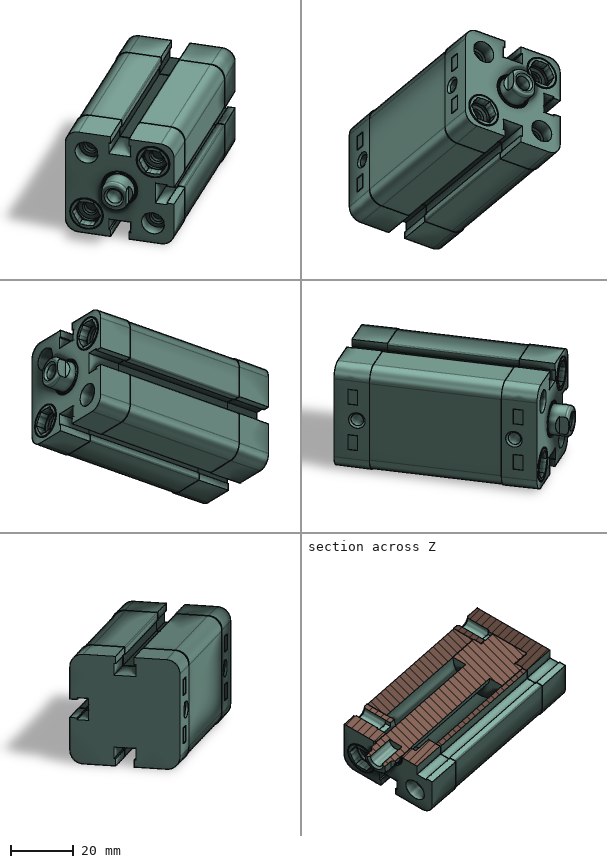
import cadquery as cq
import math


total_length = 73.6
cap_side = 36.3
cap_end_side = 36.1
barrel_side = 36.0
cap_length = 11.8
rod_reach = 6.55
body_length = total_length - rod_reach
front_joint = cap_length
rear_joint = body_length - cap_length
half_side = cap_side / 2
cap_corner_radius = 4.5
barrel_corner_radius = 4.6
cap_taper = math.degrees(math.atan((cap_side - cap_end_side) / 2 / cap_length))

slot_angles = (0, 90, 270)
slot_lip = 2.5
cap_slot = {"mouth": 6.0, "inner": 7.2, "depth": 6.3}
barrel_slot = {"mouth": 5.6, "inner": 6.85, "depth": 6.1}
slot_edge_radius = 0.4

bore_diameter = 20.0
rod_diameter = 10.0
piston_length = 10.3
tail_diameter = 13.8
rod_end_face = 7.6
rod_thread_mouth = 6.4
rod_thread = 4.9
rod_thread_depth = 10.3
wrench_width = 8.0
wrench_length = 3.2

wiper_face = 10.45
wiper_diameter = 10.9
wiper_seat = 11.4
wiper_mouth = 12.0
wiper_gap_depth = 0.4

port_from_end = 7.6
port_diameter = 4.1
port_mouth = 5.5
port_floor = 8.8
port_slot_height = 2.9
chamber_diameter = 14.0
front_chamber_end = 5.3
rear_chamber_end = 6.0

label_length = 3.2
label_height = 5.15
label_depth = 0.2
label_from_end = 6.25
label_offset = 7.95

corner_offset = 11.05
thread_diameter = 4.1
thread_mouth = 5.15
thread_depth = 2.2
head_seat = 11.1
head_diameter = 10.9
head_face = 10.45
head_gap_depth = 0.2
socket_flats = 8.0
socket_mouth = 8.3
socket_bore = 8.0
hex_depth = 3.1
socket_depth = 4.1
sleeve_hole = 7.5
sleeve_hole_depth = 4.6


def disc(diameter, start, end, x=0, z=0):
    """Cylinder parallel to Y from start to end."""
    circle = cq.Workplane("XZ", origin=(x, start, z)).circle(diameter / 2)
    return circle.extrude(start - end)


def cone_along(direction, start_diameter, end_diameter, depth, start):
    """Truncated cone from the point start, with its axis along direction."""
    solid = cq.Solid.makeCone(
        start_diameter / 2, end_diameter / 2, depth, cq.Vector(*start), cq.Vector(*direction)
    )
    return cq.Workplane(solid)


def countersink(mouth_diameter, hole_diameter, start, direction=(0, 1, 0)):
    """45 degree cone that narrows from the point start to the hole diameter."""
    depth = (mouth_diameter - hole_diameter) / 2
    return cone_along(direction, mouth_diameter, hole_diameter, depth, start)


def raised_rim(face_diameter, base_diameter, depth, x=0, z=0):
    """Cone that widens inward from the front face, left standing inside a groove."""
    return cone_along((0, 1, 0), face_diameter, base_diameter, depth, (x, 0, z))


def rounded_square(side, radius, plane_y):
    sketch = cq.Sketch().rect(side, side).vertices().fillet(radius)
    return cq.Workplane("XZ", origin=(0, plane_y, 0)).placeSketch(sketch)


def t_slots(sizes, start, end):
    """Cutters for all T-slots between two Y positions."""
    length = end - start
    floor = half_side - sizes["depth"]
    lip = half_side - slot_lip
    mid_y = (start + end) / 2
    inner = cq.Workplane().box(lip - floor, length, sizes["inner"])
    inner = inner.translate(((lip + floor) / 2, mid_y, 0))
    mouth = cq.Workplane().box(half_side - floor, length, sizes["mouth"])
    mouth = mouth.translate(((half_side + floor) / 2, mid_y, 0))
    slot = inner.union(mouth)
    slots = slot
    for angle in slot_angles:
        slots = slots.union(slot.rotate((0, 0, 0), (0, 1, 0), angle))
    return slots


def side_port(end_face, inward, chamber_end):
    """Port on the -X side, with its chamber; inward is the Y direction from the cap face to its joint."""
    port_y = end_face + inward * port_from_end
    joint = end_face + inward * cap_length
    chamber_start = end_face + inward * chamber_end
    hole = cq.Workplane("YZ", origin=(-half_side, port_y, 0)).circle(port_diameter / 2)
    hole = hole.extrude(half_side - port_floor)
    mouth = countersink(port_mouth, port_diameter, (-half_side, port_y, 0), (1, 0, 0))
    chamber = disc(chamber_diameter, chamber_start, joint)
    slot_end = port_y + inward * port_diameter / 2
    slot = cq.Workplane().box(port_floor, abs(slot_end - chamber_start), port_slot_height)
    slot = slot.translate((-port_floor / 2, (slot_end + chamber_start) / 2, 0))
    return hole.union(mouth).union(chamber).union(slot)


def label_fields(end_face, inward):
    field_y = end_face + inward * label_from_end
    field = cq.Workplane().box(2 * label_depth, label_length, label_height)
    upper = field.translate((-half_side, field_y, label_offset))
    return upper.union(upper.mirror("XY"))


def corner_thread(start, x, z):
    """Countersunk threaded hole."""
    hole = disc(thread_diameter, start, start + thread_depth, x, z)
    return hole.union(countersink(thread_mouth, thread_diameter, (x, start, z)))


def screw_head(x, z):
    """Cutter that leaves a chamfered socket head in its seat."""
    gap = disc(head_seat, 0, head_gap_depth, x, z)
    gap = gap.cut(raised_rim(head_face, head_diameter, head_gap_depth, x, z))
    hex_corners = socket_flats / math.cos(math.pi / 6)
    hexagon = cq.Workplane("XZ", origin=(x, 0, z)).polygon(6, hex_corners).extrude(-hex_depth)
    socket = disc(socket_mouth, 0, hex_depth, x, z).union(disc(socket_bore, 0, socket_depth, x, z))
    return gap.union(hexagon).union(socket).union(corner_thread(socket_depth, x, z))


def sleeve_end(x, z):
    """Cutter for a plain corner hole with a threaded floor."""
    hole = disc(sleeve_hole, 0, sleeve_hole_depth, x, z)
    return hole.union(corner_thread(sleeve_hole_depth, x, z))


def rod_passage():
    """Cutter for the rod hole, with a groove that leaves a chamfered wiper lip around the rod."""
    groove = disc(wiper_seat, 0, wiper_gap_depth).union(countersink(wiper_mouth, wiper_seat, (0, 0, 0)))
    groove = groove.cut(raised_rim(wiper_face, wiper_diameter, wiper_gap_depth))
    return groove.union(disc(rod_diameter, 0, cap_length))


def cap_blank(end_face, inward):
    """Cap block, largest at its joint and tapering toward the outer face."""
    joint = end_face + inward * cap_length
    block = rounded_square(cap_side, cap_corner_radius, joint)
    block = block.extrude(inward * cap_length, taper=cap_taper)
    block = block.cut(t_slots(cap_slot, min(end_face, joint), max(end_face, joint)))
    return block.cut(label_fields(end_face, inward))


def make_front_cap():
    cap = cap_blank(0, 1).cut(side_port(0, 1, front_chamber_end)).cut(rod_passage())
    for side in (1, -1):
        cap = cap.cut(screw_head(side * corner_offset, side * corner_offset))
        cap = cap.cut(sleeve_end(-side * corner_offset, side * corner_offset))
    return cap


def make_rear_cap():
    return cap_blank(body_length, -1).cut(side_port(body_length, -1, rear_chamber_end))


def slot_mouth_edge(angle, side):
    """Selector for one outer edge of the barrel slot at the given angle about Y."""
    turn = math.radians(angle)
    outward = cq.Vector(math.cos(turn), 0, -math.sin(turn))
    sideways = cq.Vector(math.sin(turn), 0, math.cos(turn))
    edge_middle = outward * (barrel_side / 2) + sideways * (side * barrel_slot["mouth"] / 2)
    edge_middle += cq.Vector(0, body_length / 2, 0)
    return cq.selectors.NearestToPointSelector(edge_middle.toTuple())


def make_barrel():
    barrel = rounded_square(barrel_side, barrel_corner_radius, front_joint)
    barrel = barrel.extrude(front_joint - rear_joint)
    barrel = barrel.cut(t_slots(barrel_slot, front_joint, rear_joint))
    for angle in slot_angles:
        for side in (1, -1):
            barrel = barrel.edges(slot_mouth_edge(angle, side)).fillet(slot_edge_radius)
    return barrel.cut(disc(bore_diameter, front_joint, rear_joint))


def make_piston_rod():
    tip = -rod_reach
    rod = disc(rod_diameter, tip, rear_joint)
    rod = rod.faces("<Y").edges().fillet((rod_diameter - rod_end_face) / 2)
    rod = rod.union(disc(bore_diameter, rear_joint - piston_length, rear_joint))
    rod = rod.union(disc(tail_diameter, rear_joint, body_length - rear_chamber_end))
    rod = rod.cut(disc(rod_thread, tip, tip + rod_thread_depth))
    rod = rod.cut(countersink(rod_thread_mouth, rod_thread, (0, tip, 0)))
    flat_x = wrench_width / 2
    rise = rod_diameter / 2 - flat_x
    flat_end = tip + wrench_length
    flat = cq.Workplane("XY", origin=(0, 0, -rod_diameter / 2)).polyline([
        (flat_x, tip), (flat_x, flat_end), (flat_x + rise, flat_end + rise), (flat_x + rise, tip)
    ]).close().extrude(rod_diameter)
    return rod.cut(flat).cut(flat.mirror("YZ"))


front_cap = make_front_cap()
barrel = make_barrel()
rear_cap = make_rear_cap()
piston_rod = make_piston_rod()

result = cq.Compound.makeCompound([front_cap.val(), barrel.val(), rear_cap.val(), piston_rod.val()])